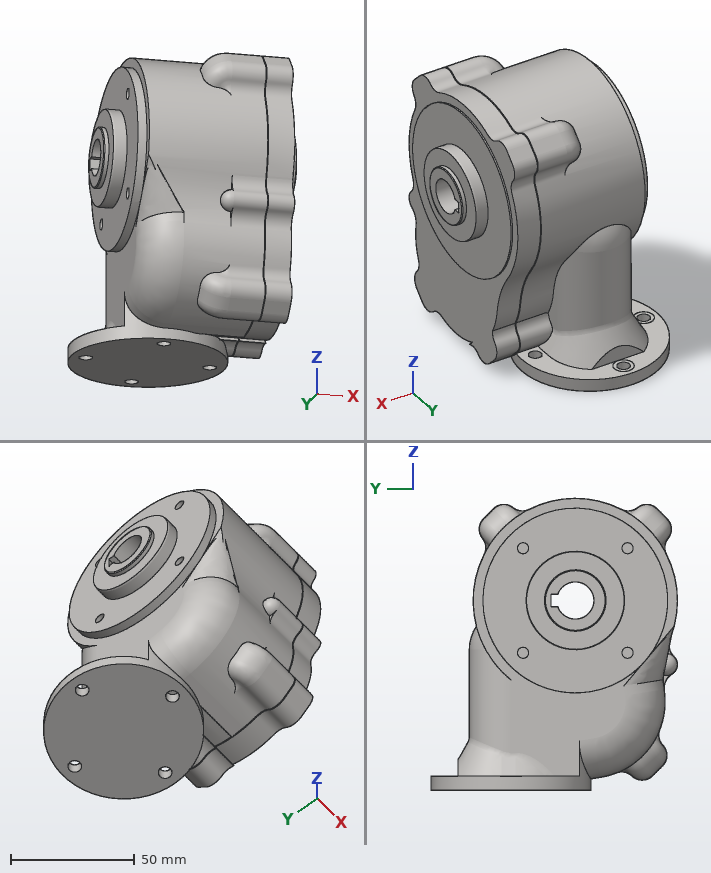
import math

import cadquery as cq


HOUSING_R = 41.5
HOUSING_X0 = -29.0
HOUSING_X1 = 32.0
SPIGOT_R = 37.5
SPIGOT_X = 32.75
HUB_R = 20.0
HUB_X = 38.4
HUB_CHAMFER_LENGTH = 0.9
HUB_CHAMFER_RISE = 0.2
SHAFT_R = 12.5
SHAFT_X = 40.5
SHAFT_CHAMFER = 0.4
BORE_R = 7.5
KEY_WIDTH = 5.0
KEY_REACH = 9.8
FACE_HOLE_R = 2.25
FACE_HOLE_CIRCLE_R = 30.0
FACE_HOLE_DEPTH = 10.0

JOINT_X0 = 20.7
JOINT_X1 = 21.0
JOINT_INSET = 0.2

MAIN_CENTER = (0.0, 0.0)
LOWER_CENTER = (-5.3, -41.0)
LOWER_R = 31.2
ELBOW_R = 16.0
ELBOW_TILT = 9.0
ELBOW_LOWER_LENGTH = 6.5
ELBOW_UPPER_LENGTH = 4.0
WAIST_TOP = (-39.7, -10.9)
WAIST_TIP_SIZE = 2.0
BLEND_R = 43.0

BOSS_X0 = 6.6
BOSS_FLAT = 5.8
BOSS_EDGE_R = 6.0
BOSS_FOOT_R = 6.0
BOSS_ROOT_SINK = 0.2
UPPER_BOSS_REACH = 49.85
LOWER_BOSS_REACH = 39.8
REAR_BOSS_CENTER = (-6.5, -42.8)
SMALL_BOSS_CENTER = (-37.0, -26.0)
SMALL_BOSS_R = 4.5
SMALL_BOSS_FOOT_R = 6.8

INPUT_X = -12.0
INPUT_Y = 26.1
FLANGE_R = 32.5
FLANGE_BOTTOM = -77.0
FLANGE_TOP = -71.3
FLANGE_HOLE_R = 2.75
FLANGE_HOLE_CIRCLE_R = 26.0
SPOTFACE_R = 4.35
SPOTFACE_DEPTH = 0.1
SPOTFACE_GAP = 0.05
PILLAR_R = INPUT_X - HOUSING_X0
PILLAR_DOME_Z = -20.0
BLOCK_TOP = -30.0
FLARE_R = 21.8
FLARE_STRETCH = 5.6
FLARE_OFFSET_Y = 0.9
FLARE_HEIGHT = 16.0
FLARE_TAPER = 30.0
FLARE_FILLET = 4.0
FLARE_CLEARANCE = FLANGE_HOLE_CIRCLE_R - SPOTFACE_R - SPOTFACE_GAP


def tangent_center(c1, d1, c2, d2, side):
    """Point at distance d1 from c1 and d2 from c2, left (+1) or right (-1) of the line c1-c2."""
    dx, dy = c2[0] - c1[0], c2[1] - c1[1]
    gap = math.hypot(dx, dy)
    along = (d1**2 - d2**2 + gap**2) / (2 * gap)
    across = side * math.sqrt(d1**2 - along**2)
    return (
        c1[0] + (along * dx - across * dy) / gap,
        c1[1] + (along * dy + across * dx) / gap,
    )


def toward(start, target, distance):
    """Point at a given distance from start on the way to target."""
    gap = math.dist(start, target)
    return tuple(a + (b - a) * distance / gap for a, b in zip(start, target))


def arc_middle(center, radius, p, q):
    """Middle of the short arc between two points of a circle."""
    return toward(center, ((p[0] + q[0]) / 2, (p[1] + q[1]) / 2), radius)


def x_cylinder(radius, x0, x1, center=MAIN_CENTER):
    return cq.Workplane("YZ", origin=(x0, 0, 0)).center(*center).circle(radius).extrude(x1 - x0)


def z_cylinder(radius, z0, z1, x=INPUT_X, y=INPUT_Y):
    return cq.Workplane("XY", origin=(x, y, z0)).circle(radius).extrude(z1 - z0)


def waist_blend(x0, x1, side, inset=0.0):
    """Concave filling between the housing and the lower disc."""
    r_main, r_low, r_blend = HOUSING_R - inset, LOWER_R - inset, BLEND_R + inset
    center = tangent_center(MAIN_CENTER, r_main + r_blend, LOWER_CENTER, r_low + r_blend, side)
    top = toward(MAIN_CENTER, center, r_main)
    bottom = toward(LOWER_CENTER, center, r_low)
    return (
        cq.Workplane("YZ", origin=(x0, 0, 0))
        .moveTo(*MAIN_CENTER)
        .lineTo(*top)
        .threePointArc(arc_middle(center, r_blend, top, bottom), bottom)
        .lineTo(*LOWER_CENTER)
        .close()
        .extrude(x1 - x0)
    )


def boss_profile(body_r, reach, inset, x):
    """Boss outline pointing along +Y from a body centred on the X axis, and its root chord."""
    edge_r, foot_r = BOSS_EDGE_R - inset, BOSS_FOOT_R + inset
    body = body_r - inset
    edge = (reach - BOSS_EDGE_R, BOSS_FLAT / 2)
    foot = tangent_center((0, 0), body + foot_r, edge, edge_r + foot_r, 1)
    root = toward((0, 0), foot, body)
    sunk_root = (root[0] - BOSS_ROOT_SINK, root[1])
    flank = toward(edge, foot, edge_r)
    corner = (edge[0] + edge_r, edge[1])
    foot_mid = arc_middle(foot, foot_r, root, flank)
    edge_mid = arc_middle(edge, edge_r, flank, corner)

    def mirrored(point):
        return (point[0], -point[1])

    profile = (
        cq.Workplane("YZ", origin=(x, 0, 0))
        .moveTo(*root)
        .threePointArc(foot_mid, flank)
        .threePointArc(edge_mid, corner)
        .lineTo(*mirrored(corner))
        .threePointArc(mirrored(edge_mid), mirrored(flank))
        .threePointArc(mirrored(foot_mid), mirrored(root))
        .lineTo(*mirrored(sunk_root))
        .lineTo(*sunk_root)
        .close()
    )
    return profile, sunk_root, mirrored(sunk_root)


def place(solid, center, angle):
    return solid.rotate((0, 0, 0), (1, 0, 0), angle).translate((0, *center))


def rim_boss(x0, x1, body_r, reach, center, angle, inset=0.0):
    profile, _, _ = boss_profile(body_r, reach, inset, x0)
    return place(profile.extrude(x1 - x0), center, angle)


def rim_boss_cap(body_r, reach, center, angle):
    """Rounded front end: the boss outline turned a quarter about its root chord."""
    profile, root, opposite_root = boss_profile(body_r, reach, 0.0, BOSS_X0)
    return place(profile.revolve(90, opposite_root, root), center, angle)


RIM_BOSSES = [
    (HOUSING_R, UPPER_BOSS_REACH, MAIN_CENTER, 45),
    (HOUSING_R, UPPER_BOSS_REACH, MAIN_CENTER, 135),
    (LOWER_R, LOWER_BOSS_REACH, LOWER_CENTER, 225),
    (LOWER_R, LOWER_BOSS_REACH, REAR_BOSS_CENTER, 315),
]


def small_boss(x0, x1, inset=0.0):
    """Narrow boss in the waist, with concave feet on the housing and on the lower disc."""
    boss_r, foot_r = SMALL_BOSS_R - inset, SMALL_BOSS_FOOT_R + inset
    r_main, r_low = HOUSING_R - inset, LOWER_R - inset
    center = SMALL_BOSS_CENTER
    upper = tangent_center(MAIN_CENTER, r_main + foot_r, center, boss_r + foot_r, -1)
    lower = tangent_center(LOWER_CENTER, r_low + foot_r, center, boss_r + foot_r, 1)
    upper_root = toward(MAIN_CENTER, upper, r_main)
    upper_flank = toward(center, upper, boss_r)
    lower_flank = toward(center, lower, boss_r)
    lower_root = toward(LOWER_CENTER, lower, r_low)
    return (
        cq.Workplane("YZ", origin=(x0, 0, 0))
        .moveTo(*MAIN_CENTER)
        .lineTo(*upper_root)
        .threePointArc(arc_middle(upper, foot_r, upper_root, upper_flank), upper_flank)
        .threePointArc((center[0] - boss_r, center[1]), lower_flank)
        .threePointArc(arc_middle(lower, foot_r, lower_flank, lower_root), lower_root)
        .lineTo(*LOWER_CENTER)
        .close()
        .extrude(x1 - x0)
    )


def rim_section(x0, x1, inset=0.0):
    """Slice of the body where the bosses run full depth."""
    section = x_cylinder(HOUSING_R - inset, x0, x1)
    section = section.union(x_cylinder(LOWER_R - inset, x0, x1, LOWER_CENTER))
    for side in (-1, 1):
        section = section.union(waist_blend(x0, x1, side, inset))
    for boss in RIM_BOSSES:
        section = section.union(rim_boss(x0, x1, *boss, inset))
    return section.union(small_boss(x0, x1, inset))


def elbow_extension(angle, length, direction):
    """Straight continuation of the elbow, tangent to the lower disc at the given angle.

    The direction is +1 to run on anticlockwise about +X, or -1 for clockwise.
    """
    bar = (
        cq.Workplane("XY")
        .box(JOINT_X0 - HOUSING_X0, LOWER_R, length, centered=False)
        .edges("<X and >Y")
        .fillet(ELBOW_R)
    )
    if direction < 0:
        bar = bar.translate((0, 0, -length))
    return place(bar.translate((HOUSING_X0, 0, 0)), LOWER_CENTER, angle)


def elbow_point(radius):
    """Point on the upper end plane of the elbow, radius away from the lower disc centre line."""
    angle = math.radians(ELBOW_TILT)
    return (
        LOWER_CENTER[0] - radius * math.cos(angle) + ELBOW_UPPER_LENGTH * math.sin(angle),
        LOWER_CENTER[1] + radius * math.sin(angle) + ELBOW_UPPER_LENGTH * math.cos(angle),
    )


def waist_cutter():
    """Half space in front of the slope from the elbow end up to a point on the housing rim."""
    top = cq.Vector(HOUSING_X0, *WAIST_TOP)
    inner = cq.Vector(HOUSING_X0, *elbow_point(LOWER_R - ELBOW_R))
    outer = cq.Vector(HOUSING_X0 + ELBOW_R, *elbow_point(LOWER_R))
    normal = (inner - top).cross(outer - top)
    size = 2 * HOUSING_R
    plane = cq.Plane(origin=top.toTuple(), xDir=(inner - top).toTuple(), normal=normal.toTuple())
    return cq.Workplane(plane).rect(2 * size, 2 * size).extrude(size)


def waist_taper():
    """Quarter-round transition that narrows from the elbow section to the housing rim."""
    corner = (HOUSING_X0 + ELBOW_R, *elbow_point(LOWER_R - ELBOW_R))
    angle = math.radians(ELBOW_TILT)
    outward = cq.Vector(0, -math.cos(angle), math.sin(angle))
    upward = cq.Vector(0, math.sin(angle), math.cos(angle))
    rise = cq.Vector(HOUSING_X0, *WAIST_TOP) - cq.Vector(*corner)
    tip = (ELBOW_R - WAIST_TIP_SIZE, rise.dot(outward) - WAIST_TIP_SIZE)

    def sector(sketch, center, radius):
        x, y = center
        diagonal = radius * math.sqrt(0.5)
        return (
            sketch.moveTo(x, y)
            .lineTo(x + radius, y)
            .threePointArc((x + diagonal, y + diagonal), (x, y + radius))
            .close()
        )

    taper = sector(cq.Workplane(cq.Plane(corner, (-1, 0, 0), upward.toTuple())), (0, 0), ELBOW_R)
    return sector(taper.workplane(offset=rise.dot(upward), origin=corner), tip, WAIST_TIP_SIZE).loft()


def housing():
    elbow_x1 = HOUSING_X0 + ELBOW_R
    body = x_cylinder(HOUSING_R, HOUSING_X0, elbow_x1)
    body = body.union(waist_blend(HOUSING_X0, elbow_x1, -1)).cut(waist_cutter()).union(waist_taper())
    body = body.union(x_cylinder(HOUSING_R, elbow_x1, BOSS_X0))
    for side in (-1, 1):
        body = body.union(waist_blend(elbow_x1, BOSS_X0, side))
    elbow = x_cylinder(LOWER_R, HOUSING_X0, BOSS_X0, LOWER_CENTER).faces("<X").edges().fillet(ELBOW_R)
    body = body.union(elbow)
    body = body.union(elbow_extension(180 - ELBOW_TILT, ELBOW_UPPER_LENGTH, -1))
    body = body.union(elbow_extension(270 - ELBOW_TILT, ELBOW_LOWER_LENGTH, 1))
    body = body.union(rim_section(BOSS_X0, JOINT_X0))
    body = body.union(rim_section(JOINT_X0, JOINT_X1, JOINT_INSET))
    body = body.union(rim_section(JOINT_X1, HOUSING_X1))
    for boss in RIM_BOSSES:
        body = body.union(rim_boss_cap(*boss))
    return body.union(cq.Workplane("XY").sphere(SMALL_BOSS_R).translate((BOSS_X0, *SMALL_BOSS_CENTER)))


def input_pillar():
    pillar = z_cylinder(PILLAR_R, FLANGE_TOP, PILLAR_DOME_Z)
    pillar = pillar.union(cq.Workplane("XY", origin=(INPUT_X, INPUT_Y, PILLAR_DOME_Z)).sphere(PILLAR_R))
    block = z_cylinder(FLANGE_R, FLANGE_TOP, BLOCK_TOP).intersect(
        cq.Workplane("XY", origin=(INPUT_X, INPUT_Y - FLANGE_R, FLANGE_TOP))
        .box(2 * PILLAR_R, 2 * FLANGE_R, BLOCK_TOP - FLANGE_TOP, centered=(True, True, False))
    )
    return pillar.union(block)


def pillar_flare():
    """Slightly oblong cone at the foot of the pillar, flattened beside the rear flange spotface."""
    cone = (
        cq.Workplane("XY", origin=(INPUT_X, INPUT_Y + FLARE_OFFSET_Y, FLANGE_TOP))
        .slot2D(2 * FLARE_R + FLARE_STRETCH, 2 * FLARE_R, 90)
        .extrude(FLARE_HEIGHT, taper=FLARE_TAPER)
    )
    clearance = cq.Workplane("XY", origin=(INPUT_X, INPUT_Y, 0)).box(
        2 * FLANGE_R, 2 * FLARE_CLEARANCE, 2 * abs(FLANGE_BOTTOM)
    )
    return cone.intersect(clearance)


def flared_pillar():
    """Pillar and flare with the concave edge between them rounded."""
    pillar = input_pillar().union(pillar_flare())
    concave_edges = cq.selectors.BoxSelector(
        (INPUT_X - FLARE_R, INPUT_Y - PILLAR_R, FLANGE_TOP + FLARE_FILLET / 4),
        (INPUT_X + FLARE_R, INPUT_Y + PILLAR_R, FLANGE_TOP + FLARE_R),
    )
    return pillar.edges(concave_edges).fillet(FLARE_FILLET)


def flange():
    return z_cylinder(FLANGE_R, FLANGE_BOTTOM, FLANGE_TOP)


def flange_holes():
    holes = (
        cq.Workplane("XY", origin=(INPUT_X, INPUT_Y, FLANGE_BOTTOM))
        .polarArray(FLANGE_HOLE_CIRCLE_R, 0, 360, 4)
        .circle(FLANGE_HOLE_R)
        .extrude(FLANGE_TOP - FLANGE_BOTTOM)
    )
    for dx, dy in ((-FLANGE_HOLE_CIRCLE_R, 0), (0, FLANGE_HOLE_CIRCLE_R)):
        spotface = z_cylinder(SPOTFACE_R, FLANGE_TOP - SPOTFACE_DEPTH, FLANGE_TOP, INPUT_X + dx, INPUT_Y + dy)
        holes = holes.union(spotface)
    return holes


def shaft_ends():
    """Spigots, bearing hubs and the hollow shaft, alike at both ends."""
    hub = x_cylinder(HUB_R, -HUB_X, HUB_X).faces("<X or >X").edges()
    hub = hub.chamfer(HUB_CHAMFER_LENGTH, HUB_CHAMFER_RISE)
    shaft = x_cylinder(SHAFT_R, -SHAFT_X, SHAFT_X).faces("<X or >X").chamfer(SHAFT_CHAMFER)
    return x_cylinder(SPIGOT_R, -SPIGOT_X, SPIGOT_X).union(hub).union(shaft)


def keyed_bore():
    bore = x_cylinder(BORE_R, -SHAFT_X, SHAFT_X)
    keyway = cq.Workplane("XY").box(2 * SHAFT_X, KEY_REACH, KEY_WIDTH, centered=(True, False, True))
    return bore.union(keyway)


def face_holes():
    return (
        cq.Workplane("YZ", origin=(-SPIGOT_X, 0, 0))
        .polarArray(FACE_HOLE_CIRCLE_R, 45, 360, 4)
        .circle(FACE_HOLE_R)
        .extrude(FACE_HOLE_DEPTH)
    )


result = housing().union(flared_pillar()).union(flange()).union(shaft_ends())
result = result.cut(flange_holes()).cut(keyed_bore()).cut(face_holes())